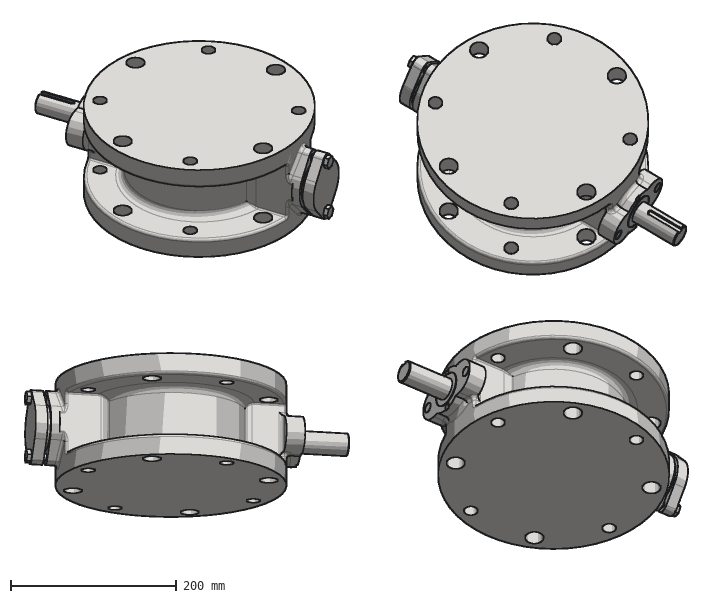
import cadquery as cq
import math

disc_diameter = 279.5
disc_radius = disc_diameter / 2
half_height = 63.5
flange_underside = 37.5
hub_radius = 91.5
hub_root_radius = 10.0
pad_half_width = 31.0
pad_root_radius = 10.5
rim_fillet = 3.5
pad_corner_fillet = 2.0

bolt_circle_radius = 120.5
large_hole_radius = 11.0
small_hole_radius = 8.5
hole_count = 8

shaft_tip = -217.5
shaft_radius = 14.0
shaft_chamfer = 1.0
keyway_width = 6.5
keyway_length = 47.0
keyway_floor = 10.5

drive_face = -155.5
drive_radius = 30.5
drive_ear_radius = 23.5
drive_ear_offset = 27.8
drive_ear_back = -132.5
drive_hole_offset = 41.2
drive_hole_radius = 6.5
drive_hole_depth = 0.5
drive_root_fillet = 5.5
lip_radius = 22.0
lip_height = 1.0
face_groove_width = 6.7
face_groove_depth = 1.0

cover_diameter = 66.2
cover_radius = cover_diameter / 2
cover_ear_radius = 10.0
screw_offset = 36.5
mount_back = 143.5
mount_face = 154.2
cover_back = 158.5
cover_face = 173.3
spigot_radius = 28.0
screw_radius = 4.5
screw_head_diameter = 16.5
screw_head_end = 179.0
mount_root_fillet = 4.5
boss_inner = 119.0

overlap = 4.0
surface_tolerance = 0.005
probe_position = 0.4


def yz_plane(x):
    """Sketch plane at x, facing +X, with local axes along Y and Z."""
    return cq.Workplane("YZ", origin=(x, 0, 0))


def cylinder_along_x(x_start, x_end, radius, y=0, z=0):
    return yz_plane(x_start).center(y, z).circle(radius).extrude(x_end - x_start)


def make_drum():
    """Solid drum with a recess cut into each side, leaving two discs, a hub and two pads."""
    drum = cq.Workplane("XY").circle(disc_radius).extrude(half_height, both=True)
    return drum.cut(make_side_recesses())


def make_side_recesses():
    """Ring around the filleted hub, interrupted by the two pads."""
    outside = disc_radius + overlap
    root_start = flange_underside - hub_root_radius
    root_centre = hub_radius + hub_root_radius
    arc_offset = hub_root_radius * math.sqrt(0.5)
    arc_mid = (root_centre - arc_offset, root_start + arc_offset)
    ring = (
        cq.Workplane("XZ")
        .moveTo(hub_radius, -root_start)
        .lineTo(hub_radius, root_start)
        .threePointArc(arc_mid, (root_centre, flange_underside))
        .lineTo(outside, flange_underside)
        .lineTo(outside, -flange_underside)
        .lineTo(root_centre, -flange_underside)
        .threePointArc((arc_mid[0], -arc_mid[1]), (hub_radius, -root_start))
        .close()
        .revolve(360, (0, 0, 0), (0, 1, 0))
    )
    web = cq.Workplane("XY").circle(hub_radius).extrude(half_height, both=True)
    web = web.union(cq.Workplane("XY").box(2 * (outside + overlap), 2 * pad_half_width, 2 * half_height))
    box_corner = cq.Vector(hub_radius, hub_radius, overlap)
    inner_corners = cq.selectors.BoxSelector((-box_corner).toTuple(), box_corner.toTuple())
    web = web.edges("|Z").edges(inner_corners).fillet(pad_root_radius)
    return ring.cut(web)


def round_inner_rims(body):
    """Round the inner rim of each disc and the outer corners of the pads."""
    rim_edges = []
    for edge in body.edges().vals():
        middle = edge.positionAt(0.5)
        on_drum_side = abs(math.hypot(middle.x, middle.y) - disc_radius) < surface_tolerance
        inside_discs = abs(middle.z) < flange_underside + surface_tolerance
        beside_pads = abs(middle.y) > pad_half_width - surface_tolerance
        if on_drum_side and inside_discs and beside_pads:
            rim_edges.append(edge)
    return body.newObject(rim_edges).fillet(rim_fillet)


def round_pad_roots(body):
    """Round the inside corners where the flat pad sides meet the inner disc faces."""
    root_edges = []
    for edge in body.edges("|X").vals():
        middle = edge.positionAt(0.5)
        on_pad_side = abs(abs(middle.y) - pad_half_width) < surface_tolerance
        on_disc_face = abs(abs(middle.z) - flange_underside) < surface_tolerance
        if on_pad_side and on_disc_face:
            root_edges.append(edge)
    return body.newObject(root_edges).fillet(pad_corner_fillet)


def make_bolt_holes():
    holes = cq.Workplane("XY")
    for i in range(hole_count):
        angle = math.radians((i + 0.5) * 360 / hole_count)
        radius = small_hole_radius if i % 2 == 0 else large_hole_radius
        centre = (bolt_circle_radius * math.cos(angle), bolt_circle_radius * math.sin(angle))
        holes = holes.union(cq.Workplane("XY").center(*centre).circle(radius).extrude(half_height, both=True))
    return holes


def make_drive_boss():
    """Round boss with two ears along Y that carries the shaft."""
    boss = cylinder_along_x(drive_face, -boss_inner, drive_radius)
    ear_length = 2 * (drive_ear_offset + drive_ear_radius)
    ears = yz_plane(drive_face).slot2D(ear_length, 2 * drive_ear_radius).extrude(drive_ear_back - drive_face)
    return boss.union(ears)


def finish_drive_face(part):
    """Add the raised lip, the vertical face groove and the two ear holes."""
    groove_length = 2 * drive_radius + overlap
    groove = yz_plane(drive_face).rect(face_groove_width, groove_length).extrude(face_groove_depth)
    part = part.cut(groove)
    for side in (-1, 1):
        hole_end = drive_face + drive_hole_depth
        part = part.cut(cylinder_along_x(drive_face, hole_end, drive_hole_radius, side * drive_hole_offset))
    return part.union(cylinder_along_x(drive_face - lip_height, -boss_inner, lip_radius))


def make_shaft():
    shaft = cylinder_along_x(shaft_tip, -boss_inner, shaft_radius).faces("<X").chamfer(shaft_chamfer)
    keyway = (
        cq.Workplane("XY", origin=(shaft_tip, 0, keyway_floor))
        .slot2D(2 * keyway_length, keyway_width)
        .extrude(shaft_radius)
    )
    return shaft.cut(keyway)


def oval_plate(x_start, x_end):
    """Plate outlined by a central circle joined by tangent lines to a small ear above and below."""
    lean = math.asin((cover_radius - cover_ear_radius) / screw_offset)
    side_y = cover_radius * math.cos(lean)
    side_z = cover_radius * math.sin(lean)
    ear_y = cover_ear_radius * math.cos(lean)
    ear_z = screw_offset + cover_ear_radius * math.sin(lean)
    top = screw_offset + cover_ear_radius
    return (
        yz_plane(x_start)
        .moveTo(side_y, side_z)
        .lineTo(ear_y, ear_z)
        .threePointArc((0, top), (-ear_y, ear_z))
        .lineTo(-side_y, side_z)
        .threePointArc((-cover_radius, 0), (-side_y, -side_z))
        .lineTo(-ear_y, -ear_z)
        .threePointArc((0, -top), (ear_y, -ear_z))
        .lineTo(side_y, -side_z)
        .threePointArc((cover_radius, 0), (side_y, side_z))
        .close()
        .extrude(x_end - x_start)
    )


def make_mount_boss():
    """Oval boss opposite the shaft; its neck is flush with the pad sides."""
    neck_length = mount_face - boss_inner
    neck_limit = yz_plane(boss_inner).rect(2 * pad_half_width, 2 * half_height).extrude(neck_length)
    neck = oval_plate(boss_inner, mount_face).intersect(neck_limit)
    return neck.union(oval_plate(mount_back, mount_face))


def make_cover():
    """Oval end cover on a round spigot, held by two hexagon-head screws."""
    cover = oval_plate(cover_back, cover_face)
    cover = cover.union(cylinder_along_x(mount_face - overlap, cover_face, spigot_radius))
    for z in (-screw_offset, screw_offset):
        shank = cylinder_along_x(mount_face - overlap, cover_face, screw_radius, z=z)
        head = yz_plane(cover_face).center(0, z).polygon(6, screw_head_diameter)
        cover = cover.union(shank).union(head.extrude(screw_head_end - cover_face))
    return cover


def touches(shape, point):
    """True when the point lies on the surface of the shape."""
    probe = cq.Vertex.makeVertex(point.x, point.y, point.z)
    return min(face.distance(probe) for face in shape.faces().vals()) < surface_tolerance


def blend_mount_root(body, boss):
    """Blend the curved lines along which the oval boss leaves the drum."""
    root_edges = []
    for edge in body.edges("%BSPLINE or %ELLIPSE").vals():
        point = edge.positionAt(probe_position)
        on_drum = math.hypot(point.x, point.y) < disc_radius + surface_tolerance
        if on_drum and touches(boss, point):
            root_edges.append(edge)
    return body.newObject(root_edges).fillet(mount_root_fillet)


def add_drive_boss(body):
    """Unite the two-eared boss with the body and blend the whole line along which they meet."""
    boss = make_drive_boss()
    joined = body.union(boss)
    meeting_edges = []
    for edge in joined.edges().vals():
        point = edge.positionAt(probe_position)
        if point.x < 0 and touches(boss, point) and touches(body, point):
            meeting_edges.append(edge)
    return joined.newObject(meeting_edges).fillet(drive_root_fillet)


mount_boss = make_mount_boss()
housing = round_pad_roots(make_drum()).union(mount_boss).clean()
housing = round_inner_rims(blend_mount_root(housing, mount_boss))
housing = finish_drive_face(add_drive_boss(housing))
result = housing.union(make_shaft()).union(make_cover()).cut(make_bolt_holes())